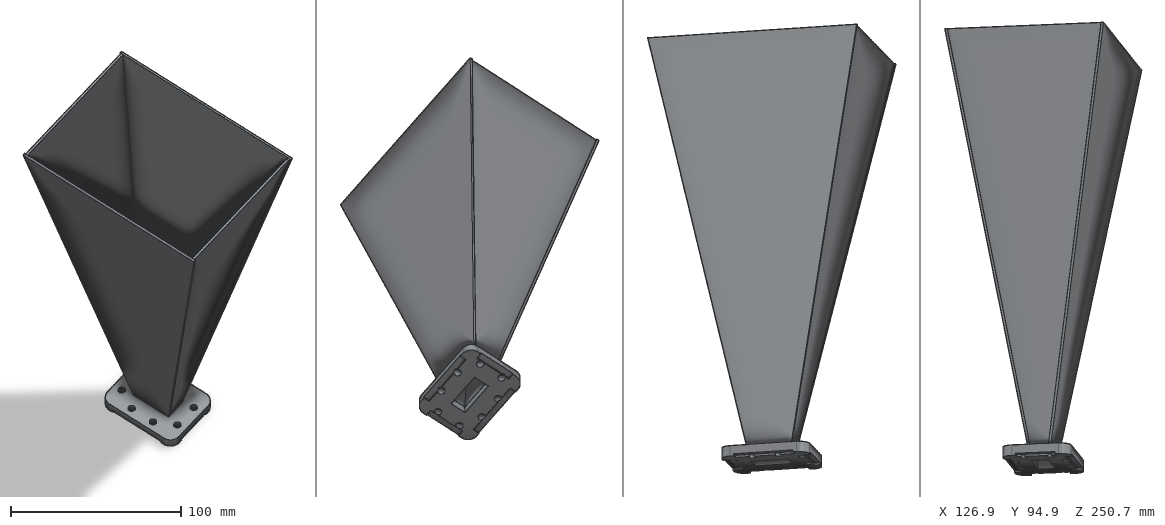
import cadquery as cq
import math


total_height = 250.7
bore_width = 22.86
bore_depth = 10.16
mouth_width = 122.3
mouth_depth = 91.92
plate_thickness = 1.52

broad_base_width = 26.1
broad_top_width = 126.9

flange_width = 53.1
flange_depth = 40.7
flange_thickness = 6.35
corner_radius = 6.35

relief_height = 1.2
relief_inset = 4.0
corner_pad_length = 8.6

hole_diameter = 4.3
end_hole_x = 20.65
end_hole_y = 7.9
side_hole_x = 7.9
side_hole_y = 14.9

horn_height = total_height - flange_thickness
broad_angle = math.atan((mouth_depth - bore_depth) / 2 / horn_height)
end_angle = math.atan((mouth_width - bore_width) / 2 / horn_height)


def centred_block(width, depth, height):
    """Block standing on Z = 0, centred on the Z axis."""
    return cq.Workplane("XY").box(width, depth, height, centered=(True, True, False))


def make_bolt_holes():
    centres = []
    for x_side in (-1, 1):
        for y_side in (-1, 1):
            centres.append((x_side * end_hole_x, y_side * end_hole_y))
            centres.append((x_side * side_hole_x, y_side * side_hole_y))
    return cq.Workplane("XY").pushPoints(centres).circle(hole_diameter / 2).extrude(flange_thickness)


def make_edge_reliefs():
    """Shallow steps along the straight bottom edges, around the raised middle."""
    between_pads_x = flange_width - 2 * corner_pad_length
    between_pads_y = flange_depth - 2 * corner_pad_length
    along_x = centred_block(between_pads_x, flange_depth, relief_height)
    along_y = centred_block(flange_width, between_pads_y, relief_height)
    middle = centred_block(
        flange_width - 2 * relief_inset,
        flange_depth - 2 * relief_inset,
        relief_height,
    )
    return along_x.union(along_y).cut(middle)


def make_flange():
    body = centred_block(flange_width, flange_depth, flange_thickness).edges("|Z").fillet(corner_radius)
    bore = centred_block(bore_width, bore_depth, flange_thickness)
    return body.cut(bore).cut(make_bolt_holes()).cut(make_edge_reliefs())


def make_broad_plate():
    """Plate on the +Y side, its top edge cut square to the slope."""
    inner_base_y = bore_depth / 2
    inner_top_y = mouth_depth / 2
    outer_base_y = inner_base_y + plate_thickness / math.cos(broad_angle)
    outer_top_y = inner_top_y + plate_thickness * math.cos(broad_angle)
    outer_top_z = total_height - plate_thickness * math.sin(broad_angle)
    sloped_slab = (
        cq.Workplane("YZ")
        .moveTo(inner_base_y, flange_thickness)
        .lineTo(outer_base_y, flange_thickness)
        .lineTo(outer_top_y, outer_top_z)
        .lineTo(inner_top_y, total_height)
        .close()
        .extrude(broad_top_width / 2, both=True)
    )
    trapezoid = (
        cq.Workplane("XZ")
        .moveTo(-broad_base_width / 2, flange_thickness)
        .lineTo(broad_base_width / 2, flange_thickness)
        .lineTo(broad_top_width / 2, total_height)
        .lineTo(-broad_top_width / 2, total_height)
        .close()
        .extrude(-outer_top_y)
    )
    return sloped_slab.intersect(trapezoid)


def make_end_plate():
    """Plate on the +X side, fitted between the broad plates, with a level top edge."""
    level_thickness = plate_thickness / math.cos(end_angle)
    base_x = (bore_width + level_thickness) / 2
    top_x = (mouth_width + level_thickness) / 2
    return (
        cq.Workplane("XY", origin=(0, 0, flange_thickness))
        .center(base_x, 0)
        .rect(level_thickness, bore_depth)
        .workplane(offset=horn_height)
        .center(top_x - base_x, 0)
        .rect(level_thickness, mouth_depth)
        .loft(ruled=True)
    )


flange = make_flange()
bodies = [flange.solids().val()]

for turn in (0, 180):
    broad_plate = make_broad_plate().rotate((0, 0, 0), (0, 0, 1), turn)
    end_plate = make_end_plate().rotate((0, 0, 0), (0, 0, 1), turn)
    bodies.append(broad_plate.solids().val())
    bodies.append(end_plate.solids().val())

result = cq.Compound.makeCompound(bodies)